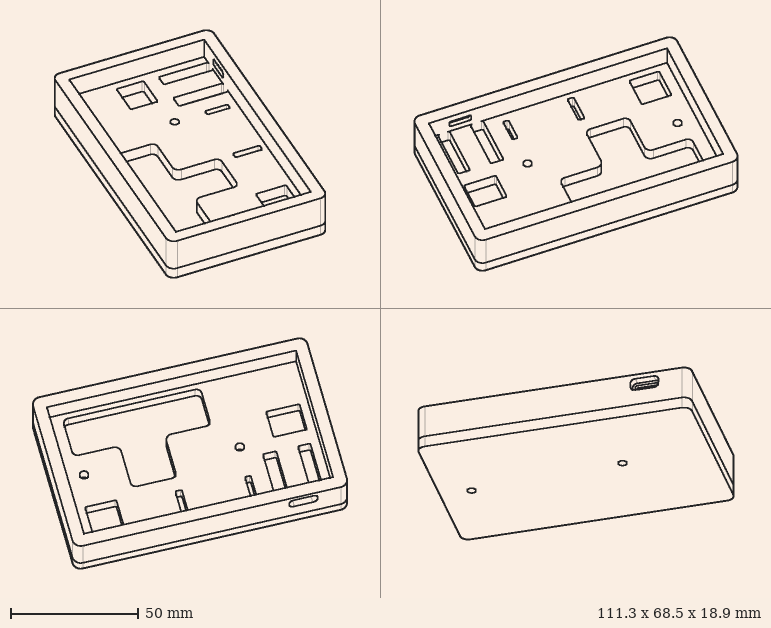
import cadquery as cq
LENGTH = 111.3
WIDTH = 68.5
HEIGHT = 18.9
CORNER_RADIUS = 3.3

BASE_THICKNESS = 4.8
TRAY_DEPTH = 8.9
TRAY_FLOOR = HEIGHT - TRAY_DEPTH
FLOOR_THICKNESS = TRAY_FLOOR - BASE_THICKNESS

WALL = 5.1
TRAY_LENGTH = LENGTH - 2 * WALL
TRAY_WIDTH = WIDTH - 2 * WALL
TRAY_BACK = TRAY_WIDTH / 2

SCREW_DIAMETER = 3.5
SCREW_POSITIONS = [(-19.6, 2.3), (42.7, -0.9)]

OPENING_RADIUS = 0.7
LEFT_WINDOW = (-40.3, -4.5, 13.6, 11.7)
RIGHT_WINDOW = (39.6, 19.7, 12.7, 13.1)
SHORT_SLIT = (-19.4, 20.7, 2.3, 9.8)
LONG_SLIT = (8.6, 20.9, 2.7, 11.6)

CHANNEL_LENGTH = 21.4
CHANNEL_Y = TRAY_BACK - CHANNEL_LENGTH / 2
LEFT_CHANNEL = (-44.3, CHANNEL_Y, 5.0, CHANNEL_LENGTH)
RIGHT_CHANNEL = (-30.3, CHANNEL_Y, 5.5, CHANNEL_LENGTH)

OPENINGS = [LEFT_WINDOW, RIGHT_WINDOW, SHORT_SLIT, LONG_SLIT, LEFT_CHANNEL, RIGHT_CHANNEL]

T_CENTRE_X = 16.8
T_BAR_LENGTH = 55.9
T_BAR_WIDTH = 16.9
T_STEM_WIDTH = 18.4
T_TOTAL_WIDTH = 36.1
T_FRONT = -26.8
T_RADIUS = 2.2
T_INNER_RADIUS = 2.7

PORT_X = -37.2
PORT_WIDTH = 9.2
PORT_HEIGHT = 3.0
PORT_SILL = 2.8
PORT_RADIUS = 0.9
PORT_CENTRE_Z = TRAY_FLOOR + PORT_SILL + PORT_HEIGHT / 2
PORT_LAND = 1.8

PLUG_MARGIN = 1.1
PLUG_DEPTH = WALL - PORT_LAND


def rounded_plate(bottom, thickness):
    """Full-size plate with rounded vertical corners."""
    plate = cq.Workplane("XY").workplane(offset=bottom).rect(LENGTH, WIDTH).extrude(thickness)
    return plate.edges("|Z").fillet(CORNER_RADIUS)


def floor_block(x, y, x_size, y_size):
    """Block spanning the thickness of the tray floor."""
    return (
        cq.Workplane("XY")
        .workplane(offset=BASE_THICKNESS)
        .center(x, y)
        .rect(x_size, y_size)
        .extrude(FLOOR_THICKNESS)
    )


def screw_shafts():
    return cq.Workplane("XY").pushPoints(SCREW_POSITIONS).circle(SCREW_DIAMETER / 2).extrude(HEIGHT)


def tray_recess():
    return cq.Workplane("XY").workplane(offset=TRAY_FLOOR).rect(TRAY_LENGTH, TRAY_WIDTH).extrude(TRAY_DEPTH)


def floor_opening(x, y, x_size, y_size):
    return floor_block(x, y, x_size, y_size).edges("|Z").fillet(OPENING_RADIUS)


def t_opening():
    bar = floor_block(T_CENTRE_X, T_FRONT + T_BAR_WIDTH / 2, T_BAR_LENGTH, T_BAR_WIDTH)
    stem = floor_block(T_CENTRE_X, T_FRONT + T_TOTAL_WIDTH / 2, T_STEM_WIDTH, T_TOTAL_WIDTH)
    inner_corners = cq.selectors.BoxSelector(
        (T_CENTRE_X - T_STEM_WIDTH, T_FRONT + T_BAR_WIDTH - T_INNER_RADIUS, 0),
        (T_CENTRE_X + T_STEM_WIDTH, T_FRONT + T_BAR_WIDTH + T_INNER_RADIUS, HEIGHT),
    )
    outline = bar.edges("|Z").fillet(T_RADIUS).union(stem.edges("|Z and >Y").fillet(T_RADIUS))
    return outline.edges("|Z").edges(inner_corners).fillet(T_INNER_RADIUS)


def back_wall_slot(width, height, depth, radius):
    """Rounded slot reaching into the back wall from its outside face."""
    return (
        cq.Workplane("XZ", origin=(PORT_X, WIDTH / 2, PORT_CENTRE_Z))
        .rect(width, height)
        .extrude(depth)
        .edges("|Y")
        .fillet(radius)
    )


def port():
    return back_wall_slot(PORT_WIDTH, PORT_HEIGHT, WALL, PORT_RADIUS)


def plug_recess():
    return back_wall_slot(
        PORT_WIDTH + 2 * PLUG_MARGIN,
        PORT_HEIGHT + 2 * PLUG_MARGIN,
        PLUG_DEPTH,
        PORT_RADIUS + PLUG_MARGIN,
    )


def make_base():
    return rounded_plate(0, BASE_THICKNESS).cut(screw_shafts())


def make_tray():
    body = rounded_plate(BASE_THICKNESS, HEIGHT - BASE_THICKNESS)
    body = body.cut(tray_recess()).cut(screw_shafts())
    for opening in OPENINGS:
        body = body.cut(floor_opening(*opening))
    return body.cut(t_opening()).cut(port()).cut(plug_recess())


base = make_base()
tray = make_tray()
result = cq.Compound.makeCompound([base.val(), tray.val()])